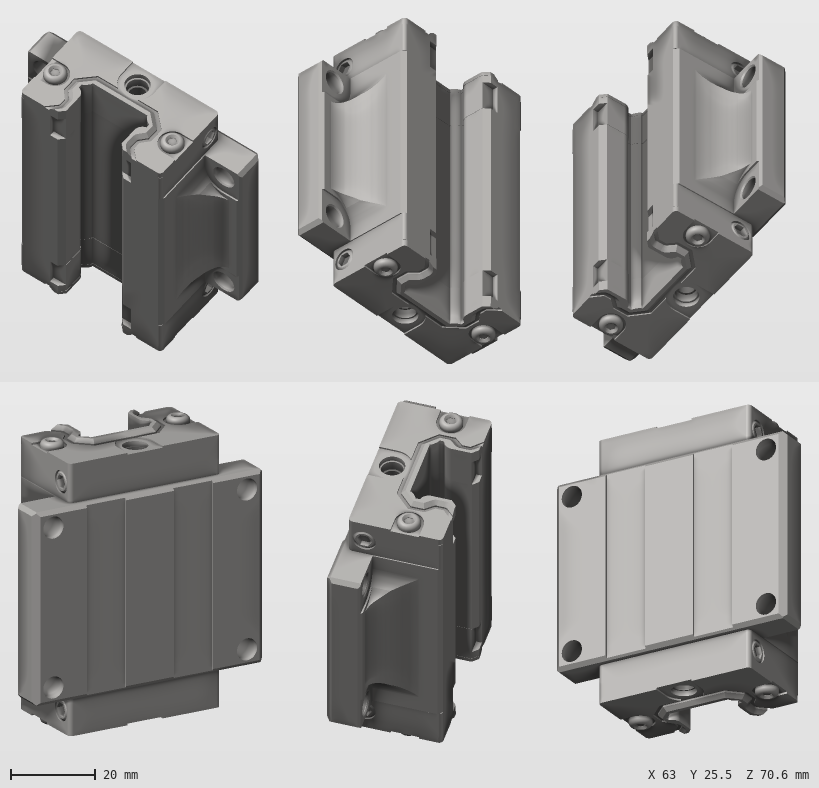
import cadquery as cq
import math

LENGTH = 70.6
WIDTH = 63.0
HEIGHT = 25.5

block_half_length = 24.2
block_half_width = 21.0
block_corner_chamfer = 1.05
flange_underside_y = 16.6
flange_edge_chamfer = 1.0
flange_top_side_chamfer = 1.55
relief_depth = 0.5
relief_inner_x = 6.6
relief_outer_x = 17.2

web_outer_x = 28.3
web_bottom_y = 5.7
web_knee_x = 25.1
web_knee_y = 15.05
web_curve_x = 22.9
web_curve_y = 12.0
scoop_z = 19.6
scoop_radius = 6.65

hole_x = 26.5
hole_z = 20.0
hole_diameter = 5.5
hole_mouth_diameter = 6.2
spotface_y = 17.0
spotface_radius = 5.5

cap_half_width = 20.7
cap_top_y = 23.15
cap_end_z = 34.0
plate_thickness = 1.8
cap_top_fillet = 1.05
cap_bottom_fillet = 0.85

channel_half_width = 8.1
channel_top_y = 11.65
channel_mouth_chamfer = 1.4
ball_groove_x = 9.95
ball_groove_top_y = 9.75
ball_groove_bottom_y = 8.7
brow_top_y = 11.3
brow_mid_x = 8.9
brow_mid_y = 10.45
brow_end_x = 9.7
brow_end_y = 9.9
lip_mid_x = 8.6
lip_mid_y = 7.85
lip_bottom_y = 6.2
cap_clearance = 0.1
block_clearance = 0.15

pocket_outer_x = 11.85
pocket_depth = 1.4
pocket_end_z = 31.85

seal_height = 1.0
seal_top_y = 13.8
seal_shoulder_x = 8.4
seal_waist_x = 11.85
seal_waist_top_y = 10.4
seal_waist_bottom_y = 7.05
seal_foot_x = 9.95
seal_foot_top_y = 4.95
seal_foot_bottom_y = 2.1
seal_foot_fillet = 1.3
trench_width = 1.0
trench_depth = 0.4

screw_x = 17.2
screw_y = 9.2
screw_head_diameter = 5.7
screw_crown_fillet = 1.2
screw_recess_radius = 3.5
screw_recess_depth = 0.5
screw_socket_mouth = 3.25
screw_socket_flats = 2.0
screw_socket_depth = 0.7

port_y = 18.5
port_recess_radius = 4.8
port_mouth_diameter = 6.2
port_mouth_depth = 1.8
port_bore_diameter = 5.4
port_bore_depth = 4.25
port_tip_diameter = 4.4
port_tip_depth = 7.05

plug_y = 19.2
plug_z = 28.45
plug_diameter = 5.7
plug_face_diameter = 4.4
plug_cone_depth = 0.6
plug_socket_flats = 3.25
plug_socket_depth = 1.4

overcut = 3.5


def box(x_range, y_range, z_range):
    """Box given by its limits along each axis."""
    sizes = [high - low for low, high in (x_range, y_range, z_range)]
    corner = (x_range[0], y_range[0], z_range[0])
    return cq.Workplane("XY").box(*sizes, centered=False).translate(corner)


def hexagon_size(flats):
    return flats / math.cos(math.pi / 6)


def both_sides(shape):
    return shape.union(shape.mirror("YZ"))


def both_ends(shape):
    return shape.union(shape.mirror("XY"))


def make_flanges():
    half_width = WIDTH / 2
    flange = box((-half_width, half_width), (flange_underside_y, HEIGHT),
                 (-block_half_length, block_half_length))
    flange = flange.edges("|Y").chamfer(flange_edge_chamfer)
    for side_y, inward, size in ((HEIGHT, -1, flange_top_side_chamfer),
                                 (flange_underside_y, 1, flange_edge_chamfer)):
        corner = (cq.Workplane("XY")
                  .polyline([(half_width, side_y),
                             (half_width - size, side_y),
                             (half_width, side_y + inward * size)])
                  .close().extrude(block_half_length, both=True))
        flange = flange.cut(both_sides(corner))
    end_corner = (cq.Workplane("YZ")
                  .polyline([(HEIGHT, block_half_length),
                             (HEIGHT - flange_edge_chamfer, block_half_length),
                             (HEIGHT, block_half_length - flange_edge_chamfer)])
                  .close().extrude(half_width, both=True))
    flange = flange.cut(both_ends(end_corner))
    relief = box((relief_inner_x, relief_outer_x), (HEIGHT - relief_depth, HEIGHT + overcut),
                 (-block_half_length, block_half_length))
    return flange.cut(both_sides(relief))


def make_web():
    """Concave web under the +X flange, its ends scooped out around the bolt heads."""
    web = (cq.Workplane("XY")
           .moveTo(block_half_width - overcut, web_bottom_y)
           .lineTo(block_half_width, web_bottom_y)
           .threePointArc((web_curve_x, web_curve_y), (web_knee_x, web_knee_y))
           .tangentArcPoint((web_outer_x, flange_underside_y), relative=False)
           .lineTo(block_half_width - overcut, flange_underside_y)
           .close().extrude(hole_z, both=True))
    scoop = (cq.Workplane("XZ").center(web_outer_x, scoop_z)
             .circle(scoop_radius).extrude(-flange_underside_y))
    return web.cut(both_ends(scoop))


def make_spotface():
    """Seat for one bolt head at +X, +Z, open towards the flange's side and end."""
    inner_x = hole_x - spotface_radius
    inner_z = hole_z - spotface_radius
    outer_x = WIDTH / 2 + overcut
    outer_z = block_half_length + overcut
    return (cq.Workplane("XZ")
            .moveTo(hole_x, inner_z)
            .lineTo(outer_x, inner_z)
            .lineTo(outer_x, outer_z)
            .lineTo(inner_x, outer_z)
            .lineTo(inner_x, hole_z)
            .radiusArc((hole_x, inner_z), -spotface_radius)
            .close().extrude(-spotface_y))


def make_mounting_hole():
    """Through hole at +X, +Z with a chamfered mouth on the underside."""
    mouth_depth = (hole_mouth_diameter - hole_diameter) / 2
    hole = (cq.Workplane("XZ").center(hole_x, hole_z)
            .circle(hole_diameter / 2).extrude(-(HEIGHT + overcut)))
    mouth = cq.Solid.makeCone(hole_mouth_diameter / 2, hole_diameter / 2, mouth_depth,
                              cq.Vector(hole_x, spotface_y, hole_z), cq.Vector(0, 1, 0))
    return hole.union(cq.Workplane(mouth))


def make_carriage():
    carriage = make_flanges().union(both_sides(make_web()))
    for cutter in (make_spotface(), make_mounting_hole()):
        carriage = carriage.cut(both_sides(both_ends(cutter)))
    block = box((-block_half_width, block_half_width), (0, HEIGHT - flange_edge_chamfer),
                (-block_half_length, block_half_length))
    block = block.edges("|Z and <Y").chamfer(block_corner_chamfer)
    return carriage.union(block)


def make_end_cap():
    """End cap and its end plate at +Z."""
    plate_start_z = cap_end_z - plate_thickness
    cap = box((-cap_half_width, cap_half_width), (0, cap_top_y), (block_half_length, plate_start_z))
    cap = cap.edges("|Z and >Y").fillet(cap_top_fillet)
    cap = cap.edges("|Z and <Y").fillet(cap_bottom_fillet)
    plate = box((-cap_half_width, cap_half_width), (0, cap_top_y), (plate_start_z, cap_end_z))
    plate = plate.edges("|Z").fillet(cap_top_fillet)
    return cap.union(plate)


def seal_outline(height):
    """Seal outline at the given Z, carried below Y = 0 so that its foot stays open."""
    foot_end_x = seal_foot_x + seal_foot_bottom_y + overcut
    right = [
        (seal_shoulder_x, seal_top_y),
        (seal_waist_x, seal_waist_top_y),
        (seal_waist_x, seal_waist_bottom_y),
        (seal_foot_x, seal_foot_top_y),
        (seal_foot_x, seal_foot_bottom_y),
        (foot_end_x, -overcut),
    ]
    left = [(-x, y) for x, y in reversed(right)]
    return cq.Workplane("XY").workplane(offset=height).polyline(right + left).close()


def rounded_seal_outline(height):
    """Seal outline with the bends of its feet rounded."""
    wire = seal_outline(height).val()
    bends = [vertex for vertex in wire.Vertices() if math.isclose(abs(vertex.X), seal_foot_x)]
    rounded = wire.fillet2D(seal_foot_fillet, bends)
    return cq.Workplane("XY").workplane(offset=height).add(rounded).toPending()


def above_base(shape):
    """The part of a shape at Y >= 0."""
    return shape.intersect(box((-WIDTH, WIDTH), (0, HEIGHT), (-LENGTH, LENGTH)))


def make_trench():
    trench = seal_outline(cap_end_z - trench_depth).offset2D(trench_width, "intersection")
    return above_base(trench.extrude(trench_depth))


def make_seal():
    """Seal with 45 degree flanks, rising from the trench floor past the end plate."""
    foot = rounded_seal_outline(cap_end_z - trench_depth).extrude(trench_depth)
    rim = rounded_seal_outline(cap_end_z).extrude(seal_height, taper=45)
    return above_base(foot.union(rim))


def make_channel(clearance, half_length):
    """Rail channel, its walls and roof set back by the clearance."""
    wall_x = channel_half_width + clearance
    groove_x = ball_groove_x + clearance
    mouth_x = wall_x + channel_mouth_chamfer
    half = (cq.Workplane("XY")
            .moveTo(0, 0)
            .lineTo(mouth_x, 0)
            .lineTo(wall_x, channel_mouth_chamfer)
            .lineTo(wall_x, lip_bottom_y)
            .threePointArc((lip_mid_x + clearance, lip_mid_y), (groove_x, ball_groove_bottom_y))
            .lineTo(groove_x, ball_groove_top_y)
            .lineTo(brow_end_x + clearance, brow_end_y)
            .threePointArc((brow_mid_x + clearance, brow_mid_y), (wall_x, brow_top_y))
            .lineTo(wall_x, channel_top_y + clearance)
            .lineTo(0, channel_top_y + clearance)
            .close().extrude(half_length, both=True))
    return both_sides(half)


def make_pocket():
    """Retainer pocket beside the channel mouth, at +X, +Z."""
    return box((0, pocket_outer_x), (0, pocket_depth), (block_half_length, pocket_end_z))


def make_screw_recess():
    floor_z = cap_end_z - screw_recess_depth
    recess = (cq.Workplane("XY").workplane(offset=floor_z)
              .center(screw_x, screw_y).circle(screw_recess_radius).extrude(screw_recess_depth))
    side_gap = box((screw_x, block_half_width),
                   (screw_y - screw_recess_radius, screw_y + screw_recess_radius),
                   (floor_z, cap_end_z))
    return recess.union(side_gap)


def make_screw():
    """Button-head screw at +X, +Z, standing on its recess floor."""
    floor_z = cap_end_z - screw_recess_depth
    top_z = LENGTH / 2
    head = (cq.Workplane("XY").workplane(offset=floor_z)
            .circle(screw_head_diameter / 2).extrude(top_z - floor_z)
            .faces(">Z").edges().fillet(screw_crown_fillet))
    cone_depth = (screw_socket_mouth - screw_socket_flats) / 2
    cone = cq.Solid.makeCone(screw_socket_mouth / 2, screw_socket_flats / 2, cone_depth,
                             cq.Vector(0, 0, top_z), cq.Vector(0, 0, -1))
    socket = (cq.Workplane("XY").workplane(offset=top_z - screw_socket_depth)
              .transformed(rotate=(0, 0, 90))
              .polygon(6, hexagon_size(screw_socket_flats)).extrude(screw_socket_depth))
    return head.cut(socket).cut(cq.Workplane(cone)).translate((screw_x, screw_y, 0))


def make_port_recess():
    """Round-bottomed recess on the end face, running up to the cap's top and down to the seal trench."""
    floor_z = cap_end_z - trench_depth
    recess = (cq.Workplane("XY").workplane(offset=floor_z)
              .center(0, port_y).circle(port_recess_radius).extrude(trench_depth))
    return recess.union(box((-port_recess_radius, port_recess_radius), (port_y, cap_top_y),
                            (floor_z, cap_end_z)))


def make_port():
    """Stepped grease port along Z in the end cap."""
    steps = ((port_mouth_diameter, port_mouth_depth),
             (port_bore_diameter, port_bore_depth),
             (port_tip_diameter, port_tip_depth))
    port = cq.Workplane("XY")
    for diameter, depth in steps:
        port = port.union(cq.Workplane("XY").circle(diameter / 2).extrude(-depth))
    return port.translate((0, port_y, cap_end_z))


def make_plug_cut():
    """What is cut around a conical plug flush with the -X cap side, and its hexagon socket."""
    face_x = -cap_half_width
    centre = cq.Vector(face_x, plug_y, plug_z)
    bore = cq.Solid.makeCylinder(plug_diameter / 2, plug_cone_depth, centre, cq.Vector(1, 0, 0))
    plug = cq.Solid.makeCone(plug_face_diameter / 2, plug_diameter / 2, plug_cone_depth,
                             centre, cq.Vector(1, 0, 0))
    socket = (cq.Workplane("YZ").workplane(offset=face_x).center(plug_y, plug_z)
              .polygon(6, hexagon_size(plug_socket_flats)).extrude(plug_socket_depth))
    return cq.Workplane(bore).cut(cq.Workplane(plug)).union(socket)


end_cap = make_end_cap()
for cutter in (make_port_recess(), make_trench(), both_sides(make_screw_recess()), make_port()):
    end_cap = end_cap.cut(cutter)
end_cap = end_cap.union(make_seal()).union(both_sides(make_screw()))
result = make_carriage().union(both_ends(end_cap))

result = result.cut(make_channel(0, LENGTH / 2))
result = result.cut(make_channel(cap_clearance, cap_end_z))
result = result.cut(make_channel(block_clearance, block_half_length))
result = result.cut(both_sides(both_ends(make_pocket())))
result = result.cut(both_sides(both_ends(make_plug_cut())))